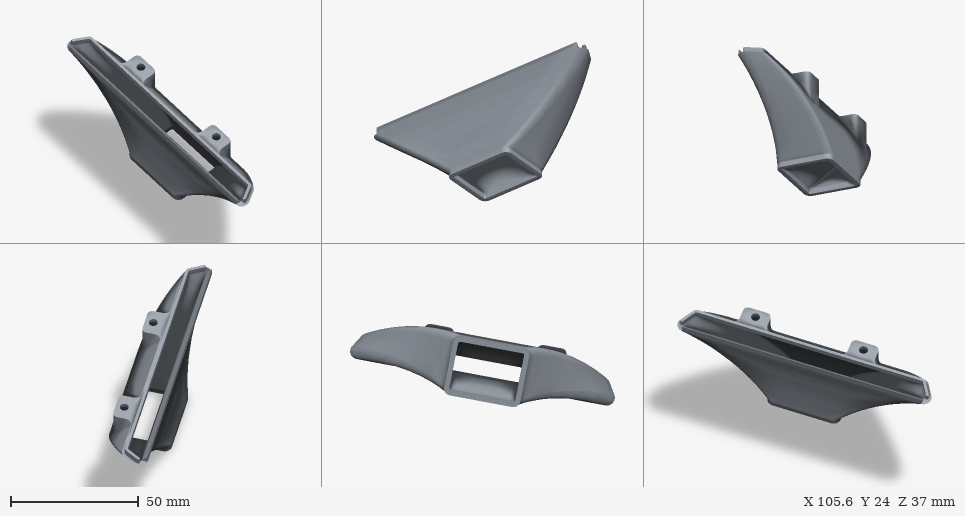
import cadquery as cq
import math

inlet_half_width = 15.2
inlet_depth = 24.0
inlet_height = 2.2
inlet_wall = 2.0
inlet_corner_radius = 2.9

rim_z = 34.0
rim_depth = 11.1
rim_width = 105.6
rim_wall = 2.3
rim_corner_radius = 3.2
rim_side_angle = math.radians(59)

front_bow = 2.9
side_bow = 1.4
section_count = 5

lip_step = 1.2
lip_top = 36.4
lip_front_y = 2.9
wedge_half_length = 49.9
wedge_top = 37
wedge_thickness = 2.3

ear_centers = (-25.0, 20.0)
ear_width = 11.4
ear_back_y = 19.3
ear_front_y = 10.0
ear_bottom = 21.1
ear_corner_radius = 2.0
ear_root_radius = 2.0
screw_diameter = 3.5
screw_y = 16.0
screw_depth = 5.3

duct_height = rim_z - inlet_height

rim_front_half_width = rim_width / 2 - rim_corner_radius + rim_corner_radius / math.tan(rim_side_angle / 2)
rim_back_half_width = rim_front_half_width - rim_depth / math.tan(rim_side_angle)

back_drop = inlet_depth - rim_depth
back_radius = (duct_height**2 + back_drop**2) / (2 * back_drop)
front_radius = ((duct_height / 2) ** 2 + front_bow**2) / (2 * front_bow)


def blend(start, end, t):
    return start + (end - start) * t


def section(t, inset=0.0):
    """Rounded trapezoid at fraction t from inlet to rim, shrunk inward by inset."""
    rise = duct_height * t
    from_middle = rise - duct_height / 2
    front_y = math.sqrt(front_radius**2 - from_middle**2) - front_radius + front_bow
    back_y = inlet_depth - back_radius + math.sqrt(back_radius**2 - rise**2)
    narrowing = 4 * side_bow * t * (1 - t)
    front_half = blend(inlet_half_width, rim_front_half_width, t) - narrowing
    back_half = blend(inlet_half_width, rim_back_half_width, t) - narrowing

    run = (front_half - back_half) / (back_y - front_y)
    side_shift = inset * math.sqrt(1 + run**2)
    inner_front = front_half - run * inset - side_shift
    inner_back = back_half + run * inset - side_shift
    corners = [
        (-inner_front, front_y + inset),
        (inner_front, front_y + inset),
        (inner_back, back_y - inset),
        (-inner_back, back_y - inset),
    ]
    radius = blend(inlet_corner_radius, rim_corner_radius, t) - inset
    return cq.Sketch().polygon(corners + corners[:1]).vertices().fillet(radius)


def prism(sketch, bottom, top):
    return cq.Workplane("XY", origin=(0, 0, bottom)).placeSketch(sketch).extrude(top - bottom)


def duct(inlet_inset, rim_inset):
    """Curved funnel with the straight inlet collar below it."""
    sections = []
    for i in range(section_count):
        t = i / (section_count - 1)
        sketch = section(t, blend(inlet_inset, rim_inset, t))
        sections.append(sketch.moved(cq.Location(cq.Vector(0, 0, inlet_height + duct_height * t))))
    funnel = cq.Workplane("XY").placeSketch(*sections).loft()
    return funnel.union(prism(section(0, inlet_inset), 0, inlet_height))


def ear(center_x):
    return (
        cq.Workplane("XY", origin=(center_x, (ear_front_y + ear_back_y) / 2, ear_bottom))
        .rect(ear_width, ear_back_y - ear_front_y)
        .extrude(rim_z - ear_bottom)
        .edges("|Z and >Y")
        .fillet(ear_corner_radius)
    )


def fillet_ear_root(body, center_x):
    """Round the whole seam between one ear and the back wall.

    The seam is tangent-continuous, so picking its left flank rounds all of it.
    """
    tolerance = 0.05
    flank_x = center_x - ear_width / 2
    flank = cq.selectors.BoxSelector(
        (flank_x - tolerance, rim_depth, ear_bottom),
        (flank_x + tolerance, ear_back_y - ear_corner_radius - tolerance, rim_z - tolerance),
    )
    return body.edges(flank).fillet(ear_root_radius)


def rim_lip():
    ring = prism(section(1, lip_step), rim_z, lip_top).cut(
        prism(section(1, rim_wall), rim_z, lip_top)
    )
    keep = cq.Workplane("XY").box(rim_width, rim_depth, lip_top, centered=(True, False, False))
    return ring.intersect(keep.translate((0, lip_front_y, 0)))


def front_wedge():
    return (
        cq.Workplane("YZ", origin=(-wedge_half_length, 0, 0))
        .polyline([(0, rim_z), (wedge_thickness, rim_z), (0, wedge_top)])
        .close()
        .extrude(2 * wedge_half_length)
    )


body = duct(0, 0)
for ear_x in ear_centers:
    body = body.union(ear(ear_x))
    body = fillet_ear_root(body, ear_x)
body = body.cut(duct(inlet_wall, rim_wall))
body = body.union(rim_lip()).union(front_wedge())

screw_holes = (
    cq.Workplane("XY", origin=(0, 0, rim_z - screw_depth))
    .pushPoints([(ear_x, screw_y) for ear_x in ear_centers])
    .circle(screw_diameter / 2)
    .extrude(screw_depth)
)
result = body.cut(screw_holes)